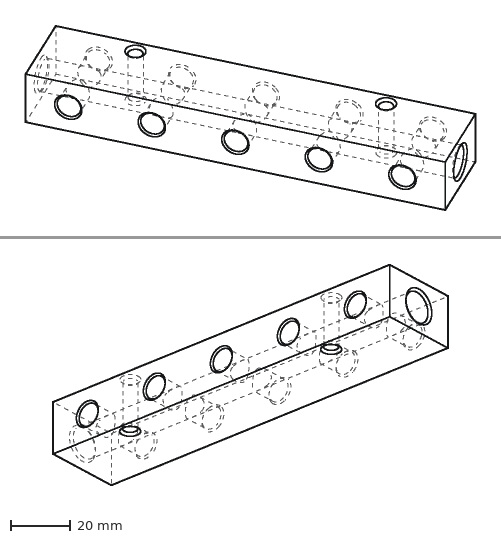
import cadquery as cq

length = 151.0
width = 30.0
height = 20.0

main_bore_diameter = 11.5
main_mouth_diameter = 13.3

port_count = 5
port_pitch = 30.0
port_diameter = 8.5
port_mouth_diameter = 9.8

mount_spacing = 3 * port_pitch
mount_diameter = 5.1
mount_mouth_diameter = 7.1
mount_edge_distance = 4.8
mount_y = width / 2 - mount_edge_distance


def countersunk_through_hole(plane, depth, diameter, mouth_diameter):
    """Cutter centred on the plane, with a 45 degree countersink at both ends."""
    half_depth = depth / 2
    radius = diameter / 2
    mouth_radius = mouth_diameter / 2
    countersink_depth = mouth_radius - radius
    cutter = cq.Workplane(plane).circle(radius).extrude(half_depth, both=True)
    for side in (-1, 1):
        countersink = (
            cq.Workplane(plane)
            .workplane(offset=side * half_depth)
            .circle(mouth_radius)
            .workplane(offset=-side * countersink_depth)
            .circle(radius)
            .loft(ruled=True)
        )
        cutter = cutter.union(countersink)
    return cutter


result = cq.Workplane("XY").box(length, width, height)

result = result.cut(countersunk_through_hole("YZ", length, main_bore_diameter, main_mouth_diameter))

port = countersunk_through_hole("XZ", width, port_diameter, port_mouth_diameter)
for index in range(port_count):
    port_x = (index - (port_count - 1) / 2) * port_pitch
    result = result.cut(port.translate((port_x, 0, 0)))

mount = countersunk_through_hole("XY", height, mount_diameter, mount_mouth_diameter)
for side in (-1, 1):
    result = result.cut(mount.translate((side * mount_spacing / 2, mount_y, 0)))